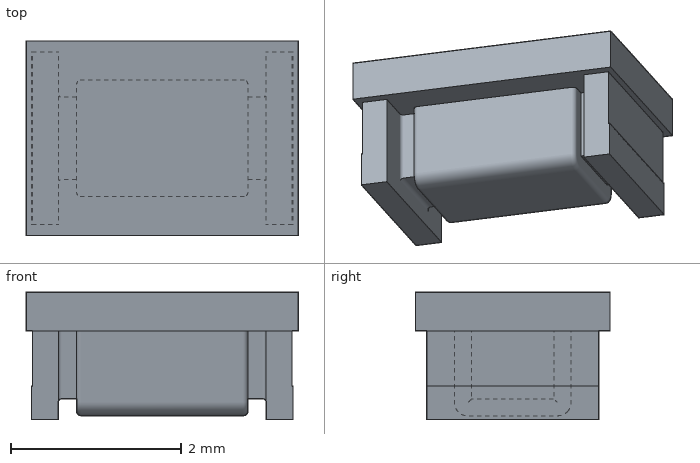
import cadquery as cq

plate_length = 3.2
plate_width = 2.29
total_height = 1.5
plate_thickness = 0.458
plate_bottom = total_height - plate_thickness

leg_outer_x = 1.525
leg_inner_x = 1.222
leg_width = 2.03
foot_projection = 0.013
foot_height = 0.395
web_width = 0.965
web_bottom = 0.243
web_root_radius = 0.04

winding_length = 2.015
winding_width = 1.37
winding_bottom = 0.045
winding_corner_radius = 0.155
winding_end_radius = 0.055


def block(length, width, bottom, top, center_x=0.0):
    """Box centred on Y, between two heights."""
    return (
        cq.Workplane("XY", origin=(center_x, 0, bottom))
        .rect(length, width)
        .extrude(top - bottom)
    )


def make_plate():
    return block(plate_length, plate_width, plate_bottom, total_height)


def make_winding():
    """Block with rounded lower long edges and softly rounded end faces."""
    body = block(winding_length, winding_width, winding_bottom, plate_bottom)
    body = body.faces("<Z").edges("|X").fillet(winding_corner_radius)
    for end in ("<X", ">X"):
        end_edges = body.faces(end).edges("not >Z")
        body = end_edges.fillet(winding_end_radius)
    return body


def make_end_piece(side):
    """Leg and web at one end; side is -1 for the -X end and 1 for the +X end."""
    leg_thickness = leg_outer_x - leg_inner_x
    leg_center = side * (leg_outer_x + leg_inner_x) / 2
    leg = block(leg_thickness, leg_width, 0, plate_bottom, leg_center)

    foot_center = side * (leg_outer_x + foot_projection / 2)
    foot = block(foot_projection, leg_width, 0, foot_height, foot_center)

    winding_end_x = winding_length / 2
    web_length = leg_inner_x - winding_end_x
    web_center = side * (leg_inner_x + winding_end_x) / 2
    web = block(web_length, web_width, web_bottom, plate_bottom, web_center)

    root_finder = cq.selectors.BoxSelector(
        (side * (leg_inner_x - web_root_radius / 2), -web_width, web_bottom / 2),
        (side * (leg_inner_x + web_root_radius / 2), web_width, plate_bottom - web_root_radius),
    )
    return leg.union(foot).union(web).edges(root_finder).fillet(web_root_radius)


plate = make_plate()
winding = make_winding()
end_pieces = [make_end_piece(side) for side in (-1, 1)]

result = cq.Compound.makeCompound(
    [plate.val(), *winding.solids().vals(), *[piece.solids().val() for piece in end_pieces]]
)